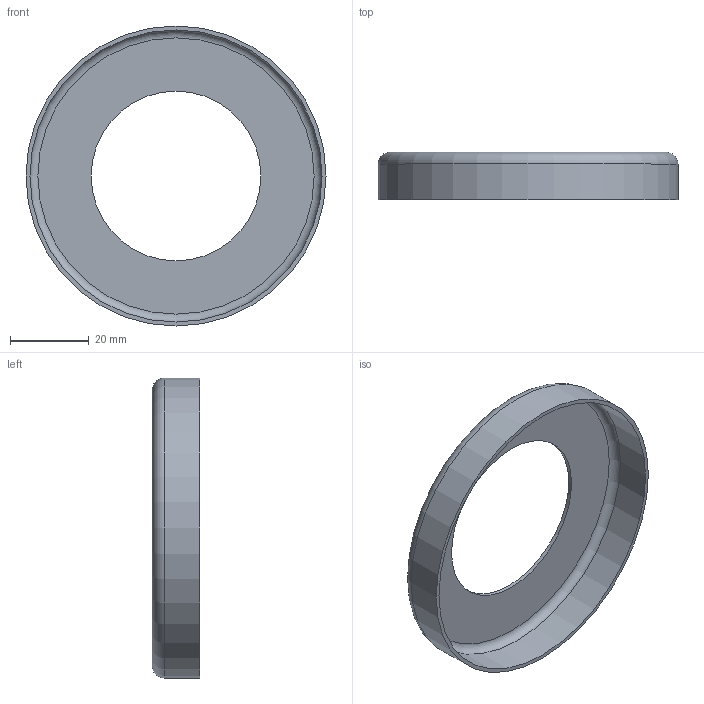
import cadquery as cq

outer_diameter = 76.0
height = 12.0
bore_diameter = 43.0
wall_thickness = 1.0
outer_corner_radius = 3.0

outer_radius = outer_diameter / 2
bore_radius = bore_diameter / 2
inner_radius = outer_radius - wall_thickness
inner_corner_radius = outer_corner_radius - wall_thickness
floor_y = height - wall_thickness


def make_cover():
    """Pressed sheet cover ring: radial section revolved about Y, open side at Y = 0."""
    section = (
        cq.Workplane("YZ")
        .moveTo(0, inner_radius)
        .lineTo(0, outer_radius)
        .lineTo(height - outer_corner_radius, outer_radius)
        .tangentArcPoint((height, outer_radius - outer_corner_radius), relative=False)
        .lineTo(height, bore_radius)
        .lineTo(floor_y, bore_radius)
        .lineTo(floor_y, inner_radius - inner_corner_radius)
        .tangentArcPoint((floor_y - inner_corner_radius, inner_radius), relative=False)
        .close()
    )
    return section.revolve(360, (0, 0, 0), (1, 0, 0))


result = make_cover()